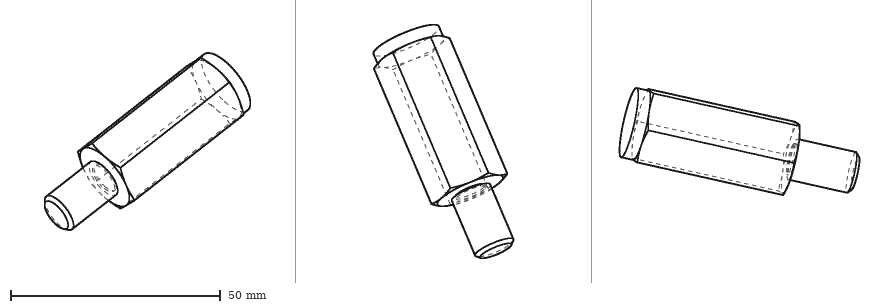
import cadquery as cq
import math

across_flats = 17.0
across_corners = across_flats / math.cos(math.radians(30))
body_length = 40.0
collar_length = 3.0
hex_length = body_length - collar_length
corner_chamfer_angle = 20.0

stud_diameter = 10.0
stud_length = 16.0
stud_tip_diameter = 8.16
relief_diameter = 7.7
relief_length = 0.5


def cylinder_along_y(diameter, start, length):
    """Cylinder on the Y axis, running from y = start toward +Y."""
    plane = cq.Plane(origin=(0, start, 0), xDir=(1, 0, 0), normal=(0, 1, 0))
    return cq.Workplane(plane).circle(diameter / 2).extrude(length)


def make_hex():
    """Hexagonal prism with the corners turned down by a cone at each end."""
    plane = cq.Plane(origin=(0, 0, 0), xDir=(1, 0, 0), normal=(0, 1, 0))
    prism = cq.Workplane(plane).polygon(6, across_corners).extrude(hex_length)

    face_radius = across_flats / 2
    corner_radius = across_corners / 2
    cone_height = (corner_radius - face_radius) * math.tan(math.radians(corner_chamfer_angle))
    envelope = (
        cq.Workplane("XY")
        .moveTo(0, 0)
        .lineTo(face_radius, 0)
        .lineTo(corner_radius, cone_height)
        .lineTo(corner_radius, hex_length - cone_height)
        .lineTo(face_radius, hex_length)
        .lineTo(0, hex_length)
        .close()
        .revolve(360, (0, 0, 0), (0, 1, 0))
    )
    return prism.intersect(envelope)


def make_collar():
    """Round collar on the end opposite the stud."""
    return cylinder_along_y(across_flats, hex_length, collar_length)


def make_stud():
    """Stud with a 45 degree tip chamfer and a relief groove next to the hexagon."""
    tip_chamfer = (stud_diameter - stud_tip_diameter) / 2
    shank = cylinder_along_y(stud_diameter, -stud_length, stud_length - relief_length)
    shank = shank.faces("<Y").chamfer(tip_chamfer)
    relief = cylinder_along_y(relief_diameter, -relief_length, relief_length)
    return shank.union(relief)


result = make_hex().union(make_collar()).union(make_stud())